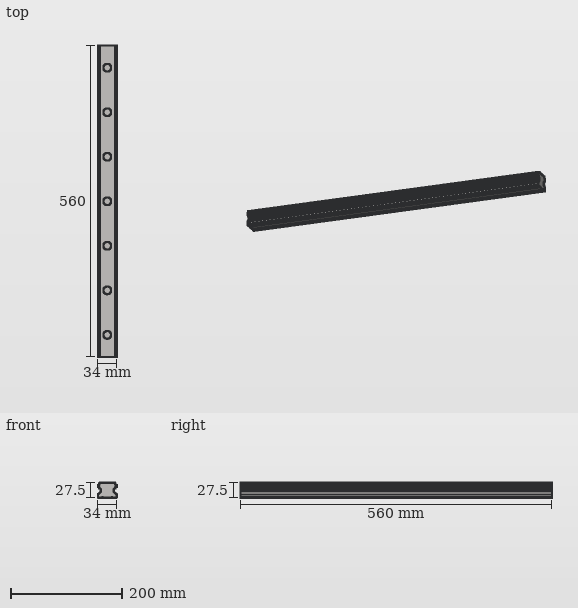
import cadquery as cq

length = 560.0
width = 34.0
height = 27.5
half_width = width / 2

top_half_width = 13.5
top_chamfer = 1.0
track_half_width = top_half_width + top_chamfer
upper_track_top = height - top_chamfer
lower_track_bottom = 17.5
lip_top = 23.0
lip_bottom = 19.5
track_end_half_width = 16.0
track_bulge = 0.5

undercut_half_width = 12.5
undercut_height = 16.0
waist_half_width = 12.0
waist_top = 14.5
waist_bottom = 11.0

shoulder_half_width = 15.5
shoulder_height = 7.0
foot_side_top = 6.0
foot_chamfer = 1.5

groove_inner = 7.0
groove_outer = 10.5
groove_depth = 0.85

hole_count = 7
hole_pitch = length / hole_count
hole_diameter = 14.0
cap_recess = 0.3


def half_section():
    """Right half of the rail section, from the centre of the base to the centre of the top."""
    track_middle = (track_half_width + track_end_half_width) / 2 - track_bulge
    lower_track_middle = (lower_track_bottom + lip_bottom) / 2 + track_bulge
    upper_track_middle = (upper_track_top + lip_top) / 2 - track_bulge
    return (
        cq.Workplane("XZ")
        .lineTo(groove_inner, 0)
        .threePointArc(((groove_inner + groove_outer) / 2, groove_depth), (groove_outer, 0))
        .lineTo(half_width - foot_chamfer, 0)
        .lineTo(half_width, foot_chamfer)
        .lineTo(half_width, foot_side_top)
        .lineTo(shoulder_half_width, shoulder_height)
        .lineTo(waist_half_width, waist_bottom)
        .lineTo(waist_half_width, waist_top)
        .lineTo(undercut_half_width, undercut_height)
        .lineTo(track_half_width, lower_track_bottom)
        .threePointArc((track_middle, lower_track_middle), (track_end_half_width, lip_bottom))
        .lineTo(half_width, lip_bottom)
        .lineTo(half_width, lip_top)
        .lineTo(track_end_half_width, lip_top)
        .threePointArc((track_middle, upper_track_middle), (track_half_width, upper_track_top))
        .lineTo(top_half_width, height)
        .lineTo(0, height)
    )


def rail_body():
    """Rail section mirrored about the centre plane and extruded along its full length."""
    return half_section().mirrorY().extrude(length / 2, both=True)


def cap_recesses():
    """Shallow discs above the hole caps, evenly spaced along the rail."""
    return (
        cq.Workplane("XY", origin=(0, 0, height - cap_recess))
        .rarray(5.5, hole_pitch, 1, hole_count)
        .circle(hole_diameter / 2)
        .extrude(cap_recess)
    )


result = rail_body().cut(cap_recesses())